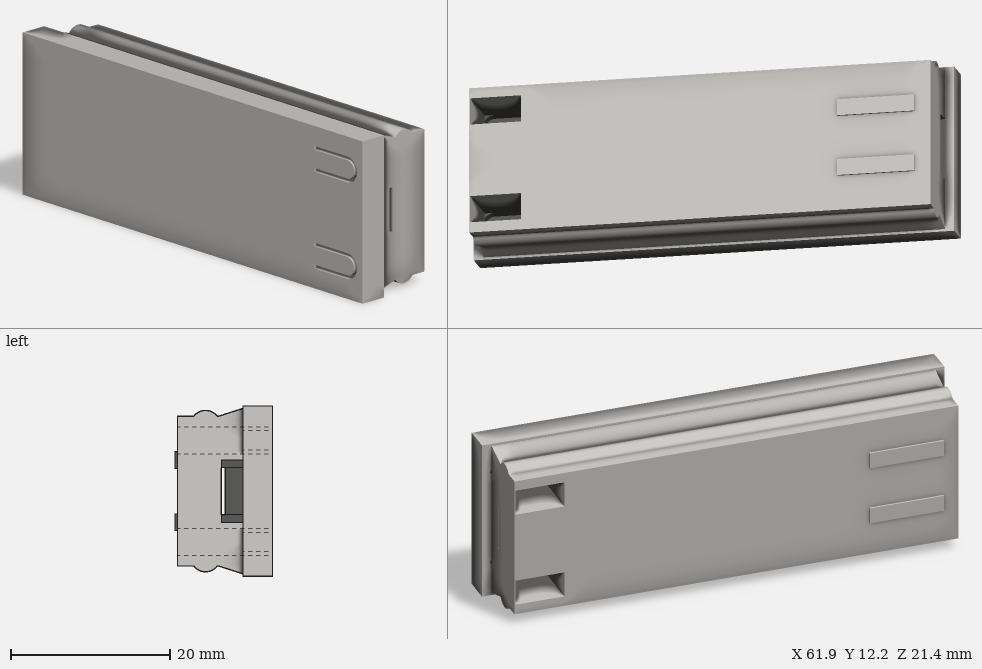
import cadquery as cq

plate_length = 61.9
plate_depth = 3.7
plate_height = 21.4

body_left = -29.8
body_right = 29.65
body_back = 11.95
body_half_height = 9.4
flare_half_height = 10.4
bead_back = 9.9
bead_front = 6.95
bead_height = 0.75
flare_start = 6.8

bar_left = -27.75
bar_length = 9.9
bar_height = 2.1
bar_centre_z = 3.9
total_depth = 12.25

channel_back = 6.45
wide_channel_height = 7.85
narrow_channel_height = 5.9
gap_front = 5.95
narrow_channel_start = 8.1

finger_centre_z = 6.4
slot_left = 22.2
slot_right = 29.9
slot_outer_height = 3.4
slot_width = 0.5
finger_height = slot_outer_height - 2 * slot_width

window_left = 22.95
window_right = 29.5


def box_between(x_min, x_max, y_min, y_max, height, centre_z=0.0):
    """Box between X and Y limits, centred on centre_z in Z."""
    return cq.Workplane("XY").box(
        x_max - x_min, y_max - y_min, height, centered=(False, False, True)
    ).translate((x_min, y_min, centre_z))


def make_body():
    """Body profile with a bead and a flare on both sides, extruded along X."""
    bead_middle = (bead_back + bead_front) / 2
    bead_top = body_half_height + bead_height
    return (
        cq.Workplane("YZ", origin=(body_left, 0, 0))
        .moveTo(plate_depth, flare_half_height)
        .lineTo(flare_start, body_half_height)
        .lineTo(bead_front, body_half_height)
        .threePointArc((bead_middle, bead_top), (bead_back, body_half_height))
        .lineTo(body_back, body_half_height)
        .lineTo(body_back, -body_half_height)
        .lineTo(bead_back, -body_half_height)
        .threePointArc((bead_middle, -bead_top), (bead_front, -body_half_height))
        .lineTo(flare_start, -body_half_height)
        .lineTo(plate_depth, -flare_half_height)
        .close()
        .extrude(body_right - body_left)
    )


def make_channel():
    """Channel that narrows in two steps toward the right end."""
    wide = box_between(body_left, narrow_channel_start, plate_depth, channel_back, wide_channel_height)
    narrow = box_between(narrow_channel_start, window_left, plate_depth, channel_back, narrow_channel_height)
    gap = box_between(window_left, body_right, gap_front, channel_back, narrow_channel_height)
    return wide.union(narrow).union(gap)


def round_ended_block(right, height, centre_z):
    """Block through the plate from the slot's left end, with a half-round right end."""
    radius = height / 2
    return (
        cq.Workplane("XZ", origin=(0, plate_depth, centre_z))
        .moveTo(slot_left, radius)
        .lineTo(right - radius, radius)
        .threePointArc((right, 0), (right - radius, -radius))
        .lineTo(slot_left, -radius)
        .close()
        .extrude(plate_depth)
    )


def make_finger_slot(centre_z):
    """U-shaped slot around one finger."""
    outer = round_ended_block(slot_right, slot_outer_height, centre_z)
    finger = round_ended_block(slot_right - slot_width, finger_height, centre_z)
    return outer.cut(finger)


plate = box_between(-plate_length / 2, plate_length / 2, 0, plate_depth, plate_height)
body = make_body().cut(make_channel())

for side in (-1, 1):
    finger_z = side * finger_centre_z
    body = body.cut(
        box_between(window_left, window_right, plate_depth, body_back, slot_outer_height, finger_z)
    )
    body = body.union(
        box_between(bar_left, bar_left + bar_length, body_back, total_depth, bar_height, side * bar_centre_z)
    )
    plate = plate.cut(make_finger_slot(finger_z))

result = plate.union(body)